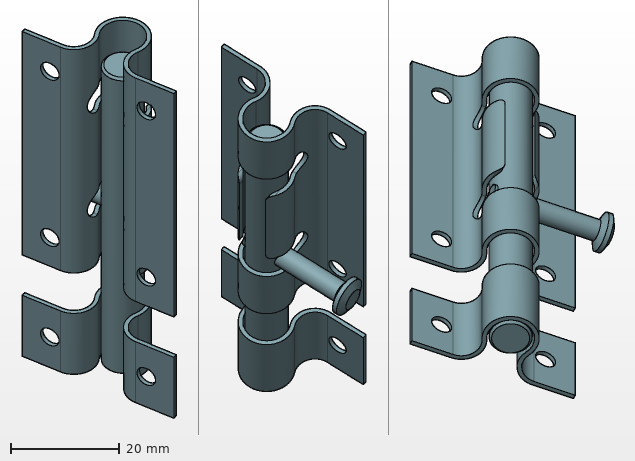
import cadquery as cq
import math

SHEET = 0.9
WIDTH = 33.0
BARREL_RADIUS = 5.3
DEPTH = 14.0
BEND_X = 8.2

TOTAL_HEIGHT = 80.0
HOUSING_LENGTH = 55.0
KEEPER_LENGTH = 15.0

HOLE_DIAMETER = 4.0
HOLE_X = 10.5
HOUSING_HOLE_INSET = 7.0

SLOT_WIDTH = 5.6
SLOT_BOTTOM_Y = 2.6
SLOT_INSET = 14.7
TRACK_WIDTH = 6.1
TRACK_CORNER_RADIUS = 1.2

BOLT_DIAMETER = 8.0
BOLT_LENGTH = 73.0
BOLT_CHAMFER = 0.5

KNOB_Z = 39.1
KNOB_END_X = -20.0
STEM_DIAMETER = 4.2
HEAD_DIAMETER = 7.7
HEAD_FACE_DIAMETER = 4.3
HEAD_FRONT_TAPER = 0.9
HEAD_RIM = 1.0
HEAD_BACK_TAPER = 0.9

BARREL_Y = DEPTH - BARREL_RADIUS
HOUSING_Z = TOTAL_HEIGHT - HOUSING_LENGTH
CLEARANCE = 1.6


def bent_plate(length):
    """Flanged barrel profile extruded along Z from Z = 0."""
    half_width = WIDTH / 2
    inner_radius = BARREL_RADIUS - SHEET
    rise = BARREL_Y - SHEET
    bend_radius = (BEND_X**2 + rise**2 - BARREL_RADIUS**2) / (2 * (BARREL_RADIUS + rise))
    bend_y = SHEET + bend_radius
    outer_bend_radius = bend_radius + SHEET
    join_angle = math.atan2(bend_y - BARREL_Y, BEND_X)
    bend_start_angle = join_angle + math.pi
    bend_end_angle = 1.5 * math.pi
    middle_angle = (bend_start_angle + bend_end_angle) / 2

    def on_barrel(radius):
        return radius * math.cos(join_angle), BARREL_Y + radius * math.sin(join_angle)

    def on_bend(radius):
        return BEND_X + radius * math.cos(middle_angle), bend_y + radius * math.sin(middle_angle)

    def mirrored(point):
        return -point[0], point[1]

    profile = (
        cq.Workplane("XY")
        .moveTo(half_width, 0)
        .lineTo(half_width, SHEET)
        .lineTo(BEND_X, SHEET)
        .threePointArc(on_bend(bend_radius), on_barrel(BARREL_RADIUS))
        .threePointArc((0, DEPTH), mirrored(on_barrel(BARREL_RADIUS)))
        .threePointArc(mirrored(on_bend(bend_radius)), (-BEND_X, SHEET))
        .lineTo(-half_width, SHEET)
        .lineTo(-half_width, 0)
        .lineTo(-BEND_X, 0)
        .threePointArc(mirrored(on_bend(outer_bend_radius)), mirrored(on_barrel(inner_radius)))
        .threePointArc((0, BARREL_Y + inner_radius), on_barrel(inner_radius))
        .threePointArc(on_bend(outer_bend_radius), (BEND_X, 0))
        .close()
    )
    return profile.extrude(length)


def mounting_holes(heights):
    """Cutters for a pair of flange holes at each height."""
    centres = [(x, z) for x in (-HOLE_X, HOLE_X) for z in heights]
    return (
        cq.Workplane("XZ", origin=(0, -CLEARANCE, 0))
        .pushPoints(centres)
        .circle(HOLE_DIAMETER / 2)
        .extrude(-(SHEET + 2 * CLEARANCE))
    )


def cross_slot(z):
    """Slot cutter through both barrel walls, round at the bottom and open at the crown."""
    half = SLOT_WIDTH / 2
    arc_y = SLOT_BOTTOM_Y + half
    top = DEPTH + CLEARANCE
    return (
        cq.Workplane("YZ")
        .moveTo(top, z - half)
        .lineTo(arc_y, z - half)
        .threePointArc((SLOT_BOTTOM_Y, z), (arc_y, z + half))
        .lineTo(top, z + half)
        .close()
        .extrude(BARREL_RADIUS + CLEARANCE, both=True)
    )


def track(z_low, z_high):
    """Cutter along the crown between the cross slots, flared by a round at each corner."""
    half = TRACK_WIDTH / 2
    flared = half + TRACK_CORNER_RADIUS
    setback = TRACK_CORNER_RADIUS * (1 - math.sqrt(0.5))
    middle = half + setback
    return (
        cq.Workplane("XZ", origin=(0, BARREL_Y, 0))
        .moveTo(-flared, z_low)
        .lineTo(flared, z_low)
        .threePointArc((middle, z_low + setback), (half, z_low + TRACK_CORNER_RADIUS))
        .lineTo(half, z_high - TRACK_CORNER_RADIUS)
        .threePointArc((middle, z_high - setback), (flared, z_high))
        .lineTo(-flared, z_high)
        .threePointArc((-middle, z_high - setback), (-half, z_high - TRACK_CORNER_RADIUS))
        .lineTo(-half, z_low + TRACK_CORNER_RADIUS)
        .threePointArc((-middle, z_low + setback), (-flared, z_low))
        .close()
        .extrude(-(BARREL_RADIUS + CLEARANCE))
    )


def make_housing():
    low_slot = HOUSING_Z + SLOT_INSET
    high_slot = TOTAL_HEIGHT - SLOT_INSET
    body = bent_plate(HOUSING_LENGTH).translate((0, 0, HOUSING_Z))
    hole_heights = [HOUSING_Z + HOUSING_HOLE_INSET, TOTAL_HEIGHT - HOUSING_HOLE_INSET]
    body = body.cut(mounting_holes(hole_heights))
    for z in (low_slot, high_slot):
        body = body.cut(cross_slot(z))
    return body.cut(track(low_slot + SLOT_WIDTH / 2, high_slot - SLOT_WIDTH / 2))


def make_keeper():
    return bent_plate(KEEPER_LENGTH).cut(mounting_holes([KEEPER_LENGTH / 2]))


def make_knob():
    """Knob turned about its X axis; the stem runs through to the far side of the bolt."""
    face = HEAD_FACE_DIAMETER / 2
    rim = HEAD_DIAMETER / 2
    stem = STEM_DIAMETER / 2
    stem_end = BOLT_DIAMETER / 2
    rim_start = KNOB_END_X + HEAD_FRONT_TAPER
    rim_end = rim_start + HEAD_RIM
    head_end = rim_end + HEAD_BACK_TAPER
    return (
        cq.Workplane("XY", origin=(0, BARREL_Y, KNOB_Z))
        .moveTo(KNOB_END_X, 0)
        .lineTo(KNOB_END_X, face)
        .lineTo(rim_start, rim)
        .lineTo(rim_end, rim)
        .lineTo(head_end, stem)
        .lineTo(stem_end, stem)
        .lineTo(stem_end, 0)
        .close()
        .revolve(360, (0, 0, 0), (1, 0, 0))
    )


def make_bolt(knob):
    """Round bolt, chamfered at both ends, with a cross hole that takes the knob stem."""
    rod = (
        cq.Workplane("XY", origin=(0, BARREL_Y, 0))
        .circle(BOLT_DIAMETER / 2)
        .extrude(BOLT_LENGTH)
        .faces("<Z or >Z")
        .chamfer(BOLT_CHAMFER)
    )
    return rod.cut(knob)


housing = make_housing()
keeper = make_keeper()
knob = make_knob()
bolt = make_bolt(knob)

bodies = [housing, keeper, bolt, knob]
result = cq.Compound.makeCompound([body.solids().val() for body in bodies])